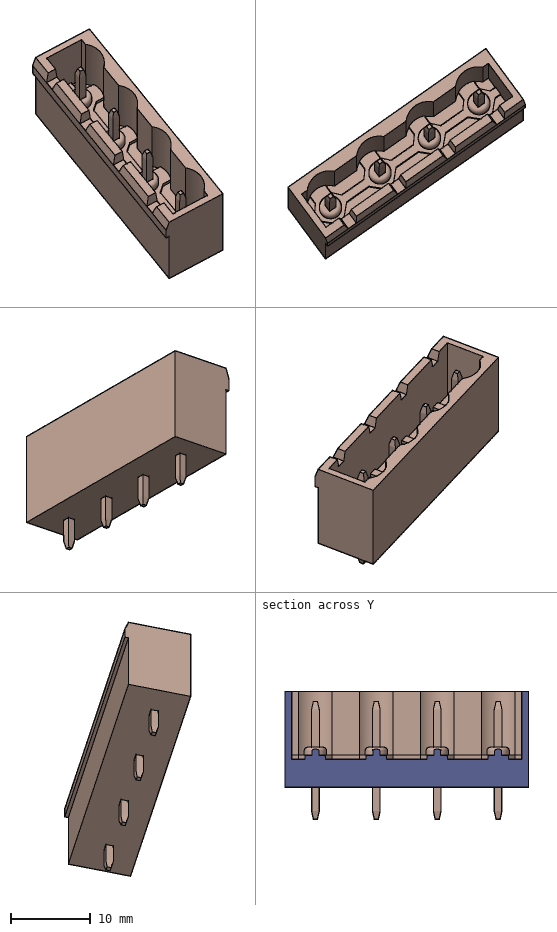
import cadquery as cq

contact_count = 4
length = 30.48
pitch = length / contact_count
total_depth = 8.5
height = 12.0

lip_projection = 0.45
lip_height = 3.02
lip_bevel_height = 1.37

end_wall = 0.85
front_wall = 1.1
back_wall = 1.75
cavity_depth = 8.0

scallop_radius = 2.85
scallop_wall = 0.82

web_height = 0.5
web_width = 1.1
back_web_width = 2.4
hub_width = 4.18
hub_back_slope = 1.0

collar_diameter = 2.8
collar_rounding = 0.45
collar_height = 1.0

notch_top_width = 1.9
notch_floor_width = 1.22
notch_depth = 1.35

pin_width = 0.98
pin_tip_width = 0.52
pin_taper = 1.0
pin_below = 4.0
pin_top_gap = 1.28
pin_from_back = 3.8

body_depth = total_depth - lip_projection
pin_y = body_depth - pin_from_back
cavity_back_y = body_depth - back_wall
scallop_y = body_depth - scallop_wall - scallop_radius
web_z = height - cavity_depth
floor_z = web_z - web_height
pin_bottom_z = -pin_below
pin_top_z = height - pin_top_gap
contact_xs = [(i - (contact_count - 1) / 2) * pitch for i in range(contact_count)]


def outer_block():
    """Housing outline with the bevelled lip, extruded along X."""
    profile = [
        (0, 0),
        (body_depth, 0),
        (body_depth, height),
        (0, height),
        (-lip_projection, height - lip_bevel_height),
        (-lip_projection, height - lip_height),
        (0, height - lip_height),
    ]
    return cq.Workplane("YZ").polyline(profile).close().extrude(length / 2, both=True)


def cavity():
    """Rectangular cavity with one scallop per contact in its back wall."""
    depth = height - floor_z
    width = cavity_back_y - front_wall
    space = (
        cq.Workplane("XY", origin=(0, front_wall + width / 2, floor_z))
        .rect(length - 2 * end_wall, width)
        .extrude(depth)
    )
    for x in contact_xs:
        scallop = cq.Workplane("XY", origin=(x, scallop_y, floor_z)).circle(scallop_radius).extrude(depth)
        space = space.union(scallop)
    return space


def web(x):
    """Floor web for one contact: a cross with a sloped hub, reaching past the cavity walls."""
    half_web = web_width / 2
    half_back = back_web_width / 2
    half_hub = hub_width / 2
    half_pitch = pitch / 2
    hub_front_y = -half_web - (half_hub - half_web)
    hub_back_y = half_web + hub_back_slope
    right_side = [
        (half_web, -pin_y),
        (half_web, hub_front_y),
        (half_hub, -half_web),
        (half_pitch, -half_web),
        (half_pitch, half_web),
        (half_hub, half_web),
        (half_back, hub_back_y),
        (half_back, pin_from_back),
    ]
    left_side = [(-px, py) for px, py in reversed(right_side)]
    return (
        cq.Workplane("XY", origin=(x, pin_y, floor_z))
        .polyline(right_side + left_side)
        .close()
        .extrude(web_height)
    )


def collar(x):
    """Round collar standing on the web, with a rounded top edge."""
    return (
        cq.Workplane("XY", origin=(x, pin_y, web_z))
        .circle(collar_diameter / 2)
        .extrude(collar_height)
        .faces(">Z")
        .edges()
        .fillet(collar_rounding)
    )


def notch(x):
    """Cutter for the notch through the front wall and the lip."""
    profile = [
        (x - notch_top_width / 2, height),
        (x + notch_top_width / 2, height),
        (x + notch_floor_width / 2, height - notch_depth),
        (x - notch_floor_width / 2, height - notch_depth),
    ]
    return (
        cq.Workplane("XZ", origin=(0, front_wall, 0))
        .polyline(profile)
        .close()
        .extrude(front_wall + lip_projection)
    )


def pin_tip(x, tip_z, direction):
    """Taper from the tip at tip_z to the full pin section, going up (1) or down (-1)."""
    return (
        cq.Workplane("XY", origin=(x, pin_y, tip_z))
        .rect(pin_tip_width, pin_tip_width)
        .workplane(offset=direction * pin_taper)
        .rect(pin_width, pin_width)
        .loft()
    )


def make_pin(x):
    """Square contact pin with a tapered tip at each end."""
    shaft = (
        cq.Workplane("XY", origin=(x, pin_y, pin_bottom_z + pin_taper))
        .rect(pin_width, pin_width)
        .extrude(pin_top_z - pin_bottom_z - 2 * pin_taper)
    )
    return shaft.union(pin_tip(x, pin_bottom_z, 1)).union(pin_tip(x, pin_top_z, -1))


def make_housing(pins):
    """Housing with its cavity, floor webs, collars, notches and a matching hole for each pin."""
    space = cavity()
    for x in contact_xs:
        space = space.cut(web(x))
    body = outer_block().cut(space)
    for x, pin in zip(contact_xs, pins):
        body = body.union(collar(x)).cut(notch(x)).cut(pin)
    return body


contact_pins = [make_pin(x) for x in contact_xs]
housing = make_housing(contact_pins)
result = cq.Compound.makeCompound([housing.val(), *[pin.val() for pin in contact_pins]])